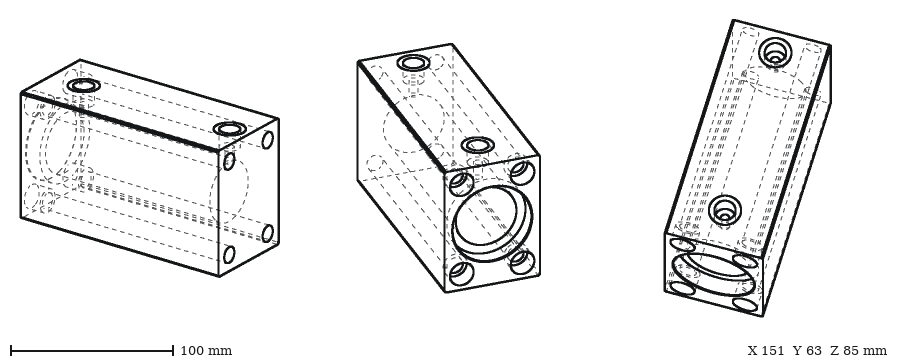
import cadquery as cq
import math

LENGTH = 151.0
WIDTH = 63.0
HEIGHT = 85.0
EDGE_CHAMFER = 1.0

BORE_DIAMETER = 40.0
BORE_DEPTH = 136.0
RECESS_DIAMETER = 52.0
RECESS_DEPTH = 10.5
RECESS_CHAMFER = 0.5

BOLT_SPACING_Y = 40.0
BOLT_SPACING_Z = 63.0
BOLT_DIAMETER = 10.5
BOLT_HEAD_DIAMETER = 15.5
BOLT_HEAD_DEPTH = 12.1

PORT_POSITIONS_X = (25.0, 136.7)
SPOTFACE_DIAMETER = 20.0
SPOTFACE_DEPTH = 0.1
PORT_DIAMETER = 13.1
PORT_DEPTH = 12.1
PORT_DRILL_DIAMETER = 5.6

TOP_Z = HEIGHT / 2
DRILL_END_Z = math.sqrt(BORE_DIAMETER**2 - PORT_DRILL_DIAMETER**2) / 2
DRILL_DEPTH = TOP_Z - DRILL_END_Z


def make_block():
    """Rectangular block with its four lengthwise edges chamfered."""
    block = cq.Workplane("XY").box(LENGTH, WIDTH, HEIGHT, centered=(False, True, True))
    return block.edges("|X").chamfer(EDGE_CHAMFER)


def cylinder_along_x(diameter, depth, y=0, z=0):
    """Cylinder running inward from the open end."""
    return cq.Workplane("YZ").center(y, z).circle(diameter / 2).extrude(depth)


def cylinder_from_top(diameter, depth, x):
    """Cylinder running down from the top face."""
    return cq.Workplane("XY", origin=(x, 0, TOP_Z)).circle(diameter / 2).extrude(-depth)


def make_bore():
    """Blind bore with a wider recess and a small lead-in chamfer."""
    bore_radius = BORE_DIAMETER / 2
    recess_radius = RECESS_DIAMETER / 2
    half_section = (
        cq.Workplane("XY")
        .lineTo(0, recess_radius + RECESS_CHAMFER)
        .lineTo(RECESS_CHAMFER, recess_radius)
        .lineTo(RECESS_DEPTH, recess_radius)
        .lineTo(RECESS_DEPTH, bore_radius)
        .lineTo(BORE_DEPTH, bore_radius)
        .lineTo(BORE_DEPTH, 0)
        .close()
    )
    return half_section.revolve(360, (0, 0, 0), (1, 0, 0))


def make_bolt_hole(y, z):
    """Through hole with a counterbore for the bolt head."""
    shank = cylinder_along_x(BOLT_DIAMETER, LENGTH, y, z)
    head = cylinder_along_x(BOLT_HEAD_DIAMETER, BOLT_HEAD_DEPTH, y, z)
    return shank.union(head)


def make_port(x):
    """Spotfaced port with a narrow drilling that opens into the bore."""
    spotface = cylinder_from_top(SPOTFACE_DIAMETER, SPOTFACE_DEPTH, x)
    port = cylinder_from_top(PORT_DIAMETER, PORT_DEPTH, x)
    drill = cylinder_from_top(PORT_DRILL_DIAMETER, DRILL_DEPTH, x)
    return spotface.union(port).union(drill)


result = make_block().cut(make_bore())

for side_y in (-1, 1):
    for side_z in (-1, 1):
        hole = make_bolt_hole(side_y * BOLT_SPACING_Y / 2, side_z * BOLT_SPACING_Z / 2)
        result = result.cut(hole)

for port_x in PORT_POSITIONS_X:
    result = result.cut(make_port(port_x))